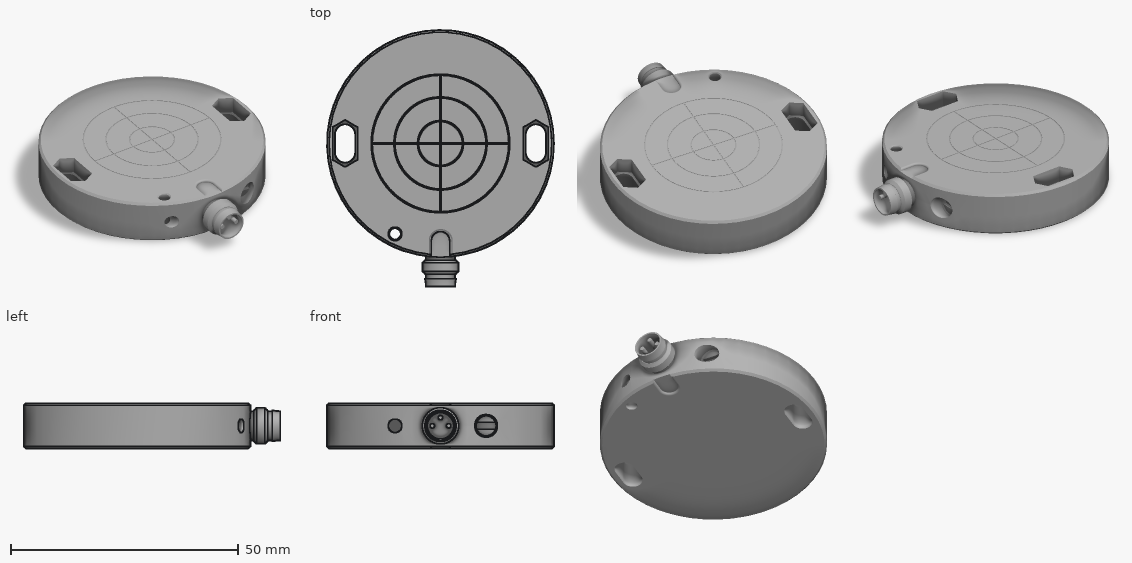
import cadquery as cq
import math

disc_radius = 25.0
disc_height = 10.0
disc_chamfer = 0.5
top_z = disc_height / 2

engraving_depth = 0.1
engraving_width = 0.28
ring_outer_radii = (5.08, 10.28, 15.28)

slot_offset = 21.0
slot_travel = 4.0
slot_width = 4.4
nut_across_flats = 5.5
nut_flat_half_angle = math.radians(30)
nut_pocket_depth = 3.8

notch_center_y = -21.4
notch_floor_radius = 2.0
notch_depth = 0.5
notch_rounding = notch_depth

small_hole_x = -10.0
small_hole_y = -19.9
small_hole_diameter = 2.5
small_hole_mouth_diameter = 3.0
side_hole_diameter = 3.0
side_hole_floor_y = -18.0

screw_x = 10.05
screw_hole_diameter = 5.0
screw_diameter = 4.4
screw_head_y = -20.6
screw_slot_width = 1.55
screw_slot_depth = 0.8

connector_root_y = -24.0
connector_end_y = -31.53
neck_radius = 3.25
collar_radius = 4.0
collar_start_y = -25.65
collar_end_y = -28.75
collar_chamfer = 0.65
ridge_radius = 3.45
ridge_y = -29.75
socket_diameter = 5.8
socket_floor_y = -25.5
pin_diameter = 1.0
pin_circle_radius = 1.8
pin_angles = (0, 90, 180)
pin_end_y = -30.8


def rod_along_y(x, z, diameter, start_y, end_y):
    """Cylinder parallel to Y between two Y positions."""
    plane = cq.Plane(origin=(x, start_y, z), xDir=(1, 0, 0), normal=(0, -1, 0))
    return cq.Workplane(plane).circle(diameter / 2).extrude(start_y - end_y)


def make_disc():
    disc = cq.Workplane("XY").circle(disc_radius).extrude(disc_height)
    return disc.translate((0, 0, -top_z)).edges().chamfer(disc_chamfer)


def make_target():
    """Three concentric ring grooves and a cross that spans the largest ring."""
    floor = cq.Workplane("XY", origin=(0, 0, top_z - engraving_depth))
    cross_length = 2 * (max(ring_outer_radii) - engraving_width / 2)
    target = floor.rect(cross_length, engraving_width).extrude(engraving_depth)
    target = target.union(floor.rect(engraving_width, cross_length).extrude(engraving_depth))
    for radius in ring_outer_radii:
        ring = floor.circle(radius).circle(radius - engraving_width).extrude(engraving_depth)
        target = target.union(ring)
    return target


def make_mounting_slot(x):
    """Through slot with a hexagonal nut pocket stretched along Y above it."""
    half_flats = nut_across_flats / 2
    corner_y = slot_travel / 2 + half_flats * math.tan(nut_flat_half_angle)
    tip_y = slot_travel / 2 + half_flats / math.cos(nut_flat_half_angle)
    slot = (
        cq.Workplane("XY", origin=(x, 0, -top_z))
        .slot2D(slot_travel + slot_width, slot_width, 90)
        .extrude(disc_height)
    )
    pocket = (
        cq.Workplane("XY", origin=(x, 0, top_z - nut_pocket_depth))
        .moveTo(half_flats, -corner_y)
        .lineTo(half_flats, corner_y)
        .lineTo(0, tip_y)
        .lineTo(-half_flats, corner_y)
        .lineTo(-half_flats, -corner_y)
        .lineTo(0, -tip_y)
        .close()
        .extrude(nut_pocket_depth)
    )
    return slot.union(pocket)


def make_top_notch():
    """Notch open at the rim, with its upper edge rounded over."""
    mouth_radius = notch_floor_radius + notch_rounding
    arc_offset = notch_rounding * math.cos(math.radians(45))
    arc_middle = (mouth_radius - arc_offset, -notch_rounding + arc_offset)
    half_section = (
        cq.Workplane("XZ", origin=(0, notch_center_y, top_z))
        .moveTo(0, 0)
        .lineTo(0, -notch_depth)
        .lineTo(notch_floor_radius, -notch_depth)
        .threePointArc(arc_middle, (mouth_radius, 0))
        .close()
    )
    straight_half = half_section.extrude(disc_radius + notch_center_y)
    round_end = half_section.toPending().revolve(360, (0, 0, 0), (0, 1, 0))
    return straight_half.union(straight_half.mirror("YZ")).union(round_end)


def make_small_hole():
    mouth_depth = (small_hole_mouth_diameter - small_hole_diameter) / 2
    hole = (
        cq.Workplane("XY", origin=(small_hole_x, small_hole_y, -top_z))
        .circle(small_hole_diameter / 2)
        .extrude(disc_height)
    )
    mouth = (
        cq.Workplane("XY", origin=(small_hole_x, small_hole_y, top_z))
        .circle(small_hole_mouth_diameter / 2)
        .extrude(-mouth_depth, taper=45)
    )
    return hole.union(mouth)


def make_screw_recess():
    """Blind hole narrowing at 45 degrees to a slotted screw head at its floor."""
    cone_length = (screw_hole_diameter - screw_diameter) / 2
    cone_start_y = screw_head_y - cone_length
    bore = rod_along_y(screw_x, 0, screw_hole_diameter, cone_start_y, -disc_radius)
    cone = (
        cq.Workplane("XZ", origin=(screw_x, cone_start_y, 0))
        .circle(screw_hole_diameter / 2)
        .extrude(-cone_length, taper=45)
    )
    slot_blank = rod_along_y(screw_x, 0, screw_diameter, screw_head_y + screw_slot_depth, screw_head_y)
    slot_band = cq.Workplane("XY").box(2 * disc_radius, 2 * disc_radius, screw_slot_width)
    return bore.union(cone).union(slot_blank.intersect(slot_band))


def make_connector():
    """Turned shell with a collar and a snap ridge, bored out and fitted with pins."""
    collar_rim_radius = collar_radius - collar_chamfer
    tip_middle_radius = neck_radius + (ridge_radius - neck_radius) / 4
    tip_middle_y = (ridge_y + connector_end_y) / 2
    shell = (
        cq.Workplane("XY")
        .moveTo(0, connector_root_y)
        .lineTo(neck_radius, connector_root_y)
        .lineTo(neck_radius, collar_start_y)
        .lineTo(collar_rim_radius, collar_start_y)
        .lineTo(collar_radius, collar_start_y - collar_chamfer)
        .lineTo(collar_radius, collar_end_y + collar_chamfer)
        .lineTo(collar_rim_radius, collar_end_y)
        .lineTo(neck_radius, collar_end_y)
        .lineTo(neck_radius, ridge_y)
        .lineTo(ridge_radius, ridge_y)
        .threePointArc((tip_middle_radius, tip_middle_y), (neck_radius, connector_end_y))
        .lineTo(0, connector_end_y)
        .close()
        .revolve(360, (0, 0, 0), (0, 1, 0))
    )
    connector = shell.cut(rod_along_y(0, 0, socket_diameter, socket_floor_y, connector_end_y))
    for angle in pin_angles:
        x = pin_circle_radius * math.cos(math.radians(angle))
        z = pin_circle_radius * math.sin(math.radians(angle))
        connector = connector.union(rod_along_y(x, z, pin_diameter, connector_root_y, pin_end_y))
    return connector


body = make_disc().cut(make_target())
for side in (-1, 1):
    body = body.cut(make_mounting_slot(side * slot_offset))
top_notch = make_top_notch()
body = body.cut(top_notch).cut(top_notch.mirror("XY"))
body = body.cut(make_small_hole())
body = body.cut(rod_along_y(small_hole_x, 0, side_hole_diameter, side_hole_floor_y, -disc_radius))
body = body.cut(make_screw_recess())

result = body.union(make_connector())